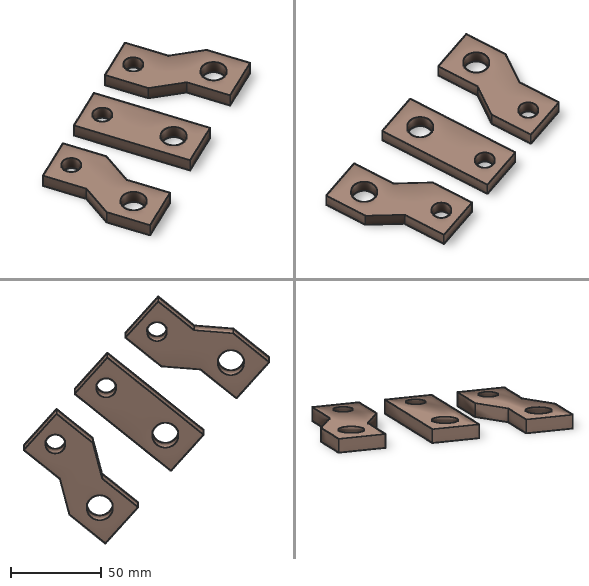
import cadquery as cq

total_width = 140.0
length = 70.0
thickness = 8.0
plate_width = 28.0

jog = 12.6
end_length = 26.2

small_hole_diameter = 11.0
large_hole_diameter = 14.5
small_hole_inset = 11.0
large_hole_inset = 16.0

left = -length / 2
right = length / 2
half_width = plate_width / 2
outer_plate_y = total_width / 2 - jog - half_width


def drill(plate, x, y, diameter):
    """Cut a vertical through hole at (x, y)."""
    cutter = (
        cq.Workplane("XY")
        .workplane(offset=-thickness / 2)
        .center(x, y)
        .circle(diameter / 2)
        .extrude(thickness)
    )
    return plate.cut(cutter)


def drill_ends(plate, small_y, large_y):
    """Cut the small hole in the left end and the large hole in the right end."""
    plate = drill(plate, left + small_hole_inset, small_y, small_hole_diameter)
    return drill(plate, right - large_hole_inset, large_y, large_hole_diameter)


def make_straight_plate():
    """Plain rectangular link in the middle."""
    plate = cq.Workplane("XY").box(length, plate_width, thickness)
    return drill_ends(plate, 0, 0)


def make_offset_plate(side):
    """Outer link on the +Y (side = 1) or -Y (side = -1), its right end stepped outward."""
    left_y = side * outer_plate_y
    right_y = left_y + side * jog
    slope_start = left + end_length
    slope_end = right - end_length
    plate = (
        cq.Workplane("XY")
        .workplane(offset=-thickness / 2)
        .polyline([
            (left, left_y - half_width),
            (slope_start, left_y - half_width),
            (slope_end, right_y - half_width),
            (right, right_y - half_width),
            (right, right_y + half_width),
            (slope_end, right_y + half_width),
            (slope_start, left_y + half_width),
            (left, left_y + half_width),
        ])
        .close()
        .extrude(thickness)
    )
    return drill_ends(plate, left_y, right_y)


straight_plate = make_straight_plate()
offset_plates = [make_offset_plate(side) for side in (-1, 1)]

result = cq.Compound.makeCompound([
    straight_plate.val(),
    *[plate.val() for plate in offset_plates],
])